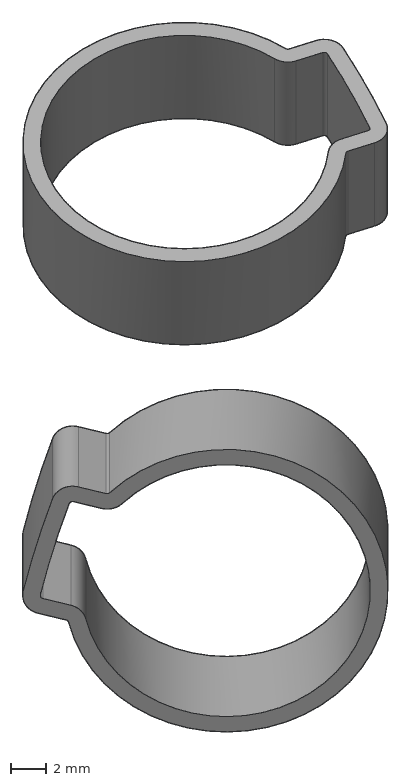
import cadquery as cq
import math

band_width = 7.0
wall = 1.0
ring_radius = 9.15
ear_half_width = 4.25
ear_top = 11.14
crown_radius = 60.0
inner_bend_radius = 0.2
outer_bend_radius = inner_bend_radius + wall

neck_x = ear_half_width + inner_bend_radius
neck_y = math.sqrt((ring_radius + inner_bend_radius) ** 2 - neck_x**2)
neck_angle = math.atan2(neck_y, neck_x)

crown_centre_y = ear_top - crown_radius
corner_x = ear_half_width - outer_bend_radius
corner_y = crown_centre_y + math.sqrt((crown_radius - outer_bend_radius) ** 2 - corner_x**2)
corner_angle = math.atan2(corner_y - crown_centre_y, corner_x)


def polar(centre_x, centre_y, radius, angle):
    """Point at an angle, measured from +X, on a circle about the given centre."""
    return (centre_x + radius * math.cos(angle), centre_y + radius * math.sin(angle))


def mirrored(point):
    """The same point on the -X half of the clamp."""
    return (-point[0], point[1])


def clamp_blank(inset):
    """Solid bounded by the outer surface of the clamp, offset inward by inset."""
    radius = ring_radius - inset
    side_x = ear_half_width - inset
    neck_radius = inner_bend_radius + inset
    corner_radius = outer_bend_radius - inset

    ring_end = polar(0, 0, radius, neck_angle)
    neck_mid = polar(neck_x, neck_y, neck_radius, math.pi + neck_angle / 2)
    side_bottom = (side_x, neck_y)
    side_top = (side_x, corner_y)
    corner_mid = polar(corner_x, corner_y, corner_radius, corner_angle / 2)
    crown_end = polar(corner_x, corner_y, corner_radius, corner_angle)

    return (
        cq.Workplane("XY")
        .moveTo(*mirrored(ring_end))
        .threePointArc((0, -radius), ring_end)
        .threePointArc(neck_mid, side_bottom)
        .lineTo(*side_top)
        .threePointArc(corner_mid, crown_end)
        .threePointArc((0, ear_top - inset), mirrored(crown_end))
        .threePointArc(mirrored(corner_mid), mirrored(side_top))
        .lineTo(*mirrored(side_bottom))
        .threePointArc(mirrored(neck_mid), mirrored(ring_end))
        .close()
        .extrude(band_width)
    )


result = clamp_blank(0).cut(clamp_blank(wall))